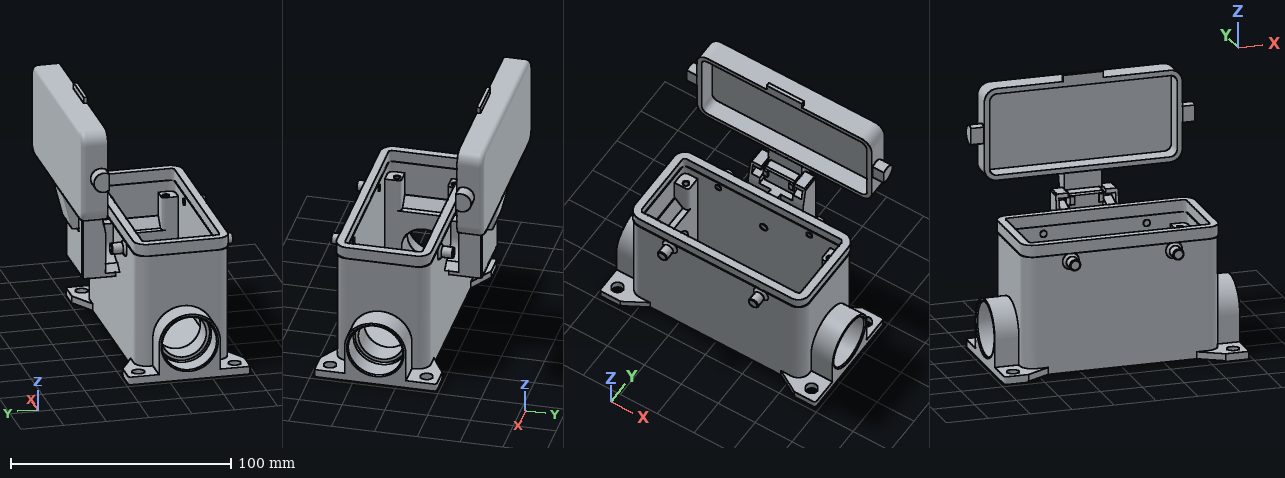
import cadquery as cq


half_length = 47.0
half_width = 21.8
corner_radius = 6.0
base_z = 0.4
rim_z = 57.3
top_z = 63.1
rim_overhang = 0.4
rim_end_overhang = 0.2
rim_half_length = half_length + rim_end_overhang
weld_depth = 1.2

cavity_half_length = 43.1
cavity_half_width = 18.1
cavity_corner = 1.5
floor_z = 3.8
undercut = 0.4
undercut_corner = 3.0

overall_length = 117.0
foot_half_length = overall_length / 2
foot_half_width = 28.5
foot_thickness = 3.8
foot_corner = 1.2
foot_inner_x = 47.0
foot_web_x = 35.4
foot_hole_x = 52.5
foot_hole_y = 22.5
foot_hole_diameter = 5.8

entry_z = 17.4
entry_radius = 14.3
entry_bore_radius = 10.7
entry_seat_radius = 12.7
entry_seat_chamfer = 0.6
entry_seat_end_radius = 12.2
entry_seat_taper = 1.2

pin_x = 24.6
pin_z = 53.7
pin_radius = 2.6
pin_tip_y = 28.4
pin_chamfer = 0.4
pin_flare_radius = 3.9
pin_flare_length = 1.3
pin_tail_radius = 1.6

pillar_size = 7.2
pillar_top_z = 52.0
pillar_edge_radius = 1.5
pillar_hole_x = 39.0
pillar_hole_y = 13.5
pillar_hole_diameter = 2.5
pillar_hole_depth = 14.7
pillar_hole_chamfer = 0.4
ramp_top_z = 40.7
ramp_run = 4.2
ramp_drop = 4.5

bracket_half_length = 15.0
bracket_front_y = 28.3
bracket_back_y = 39.3
bracket_low_z = 36.3
bracket_top_z = 67.7
bracket_top_front_y = 30.3
bracket_lip_y = 23.6
bracket_lip_z = 38.1
bracket_edge_chamfer = 0.6
bracket_wall = 1.5
ledge_z = 57.2
slot_half_length = 9.0
side_roof_z = 65.7
side_window_y = 35.5
side_window_back_z = 62.8
side_window_front_z = 60.4

post_half_length = 2.7
post_flank_z = 49.0
post_bend_x = 5.5
post_bend_z = 43.1
post_flank_arc_x = 3.5
post_flank_arc_z = 45.3
post_toe_arc_x = 8.0
post_toe_arc_z = 41.6
post_toe_x = 11.0
post_toe_z = 41.2
rivet_z = 41.6
rivet_radius = 2.0

lid_half_length = rim_half_length
lid_z = 97.5
lid_half_height = 22.0
lid_front_y = 35.4
lid_back_y = 47.7
lid_edge_radius = 2.2
lid_wall = 2.6
lid_cavity_depth = 8.6
tab_half_length = 9.5
tab_thickness = 1.8
tab_top_z = 122.5
peg_half_length = 53.4
peg_y = 38.8
peg_radius = 4.7
peg_flat_y = 36.3

arm_front_y = 36.0
arm_root_back_y = 47.4
arm_root_z = 77.2
arm_heel_y = 42.6
arm_low_z = 58.7
arm_edge_radius = 1.0
knuckle_half_length = 8.0
knuckle_top_z = 67.3
knuckle_brow_y = 32.2
knuckle_brow_z = 66.6
knuckle_nose_y = 31.4
knuckle_nose_z = 65.8
knuckle_foot_y = 31.5
lug_inner_x = 5.9
lug_front_y = 30.1
lug_low_z = 61.9



def upright_block(half_x, half_y, z_low, z_high, radius):
    """Box centred on the Z axis with rounded upright edges."""
    block = cq.Workplane("XY").workplane(offset=z_low).rect(2 * half_x, 2 * half_y)
    return block.extrude(z_high - z_low).edges("|Z").fillet(radius)


def box_between(x_range, y_range, z_range):
    """Plain box from its limits along each axis."""
    lengths = [high - low for low, high in (x_range, y_range, z_range)]
    corner = (x_range[0], y_range[0], z_range[0])
    return cq.Workplane("XY").box(*lengths, centered=False).translate(corner)


def side_profile(points, half_x):
    """Closed (Y, Z) outline extruded symmetrically about X = 0."""
    return cq.Workplane("YZ").polyline(points).close().extrude(half_x, both=True)


def x_cylinder(radius, x_start, x_end, y, z):
    """Cylinder along X between two stations."""
    start = cq.Vector(x_start, y, z)
    return cq.Workplane(cq.Solid.makeCylinder(radius, x_end - x_start, start, cq.Vector(1, 0, 0)))


def x_cone(start_radius, end_radius, x_start, x_end):
    """Cone frustum along the cable entry axis."""
    start = cq.Vector(x_start, 0, entry_z)
    cone = cq.Solid.makeCone(start_radius, end_radius, x_end - x_start, start, cq.Vector(1, 0, 0))
    return cq.Workplane(cone)


def make_foot():
    """Drilled foot on the +X end, tapering in to meet the long walls."""
    outline = [
        (0, -half_width),
        (foot_web_x, -half_width),
        (foot_inner_x, -foot_half_width),
        (foot_half_length, -foot_half_width),
        (foot_half_length, foot_half_width),
        (foot_inner_x, foot_half_width),
        (foot_web_x, half_width),
        (0, half_width),
    ]
    foot = cq.Workplane("XY").polyline(outline).close().extrude(foot_thickness)
    foot = foot.edges("|Z and >X").fillet(foot_corner)
    underside_step = box_between((0, half_length), (-foot_half_width, foot_half_width), (0, base_z))
    hole_points = [(foot_hole_x, foot_hole_y), (foot_hole_x, -foot_hole_y)]
    holes = cq.Workplane("XY").pushPoints(hole_points).circle(foot_hole_diameter / 2).extrude(foot_thickness)
    return foot.cut(underside_step).cut(holes)


def make_entry():
    """Round-topped cable entry on the +X end, from the end wall to the foot edge."""
    wall_x = half_length - corner_radius
    tube = x_cylinder(entry_radius, wall_x, foot_half_length, 0, entry_z)
    pedestal = box_between((wall_x, foot_half_length), (-entry_radius, entry_radius), (base_z, entry_z))
    return tube.union(pedestal)


def make_entry_bore():
    """Stepped and chamfered bore of the +X cable entry."""
    bore = x_cylinder(entry_bore_radius, 0, foot_half_length, 0, entry_z)
    taper_end_x = half_length + entry_seat_taper
    seat = x_cylinder(entry_seat_radius, taper_end_x, foot_half_length, 0, entry_z)
    taper = x_cone(entry_seat_end_radius, entry_seat_radius, half_length, taper_end_x)
    mouth_x = foot_half_length - entry_seat_chamfer
    mouth = x_cone(entry_seat_radius, entry_seat_radius + entry_seat_chamfer, mouth_x, foot_half_length)
    return bore.union(seat).union(taper).union(mouth)


def make_pillars():
    """Two drilled pillars at the +X end of the cavity with a ramped block between them."""
    outer_x = cavity_half_length + undercut
    outer_y = cavity_half_width + undercut
    inner_x = cavity_half_length - pillar_size
    inner_y = cavity_half_width - pillar_size
    pillar = box_between((inner_x, outer_x), (inner_y, outer_y), (floor_z, pillar_top_z))
    pillar = pillar.edges("|Z and <X and <Y").fillet(pillar_edge_radius)
    hole = (
        cq.Workplane("XY")
        .workplane(offset=pillar_top_z - pillar_hole_depth)
        .center(pillar_hole_x, pillar_hole_y)
        .circle(pillar_hole_diameter / 2)
        .extrude(pillar_hole_depth)
    )
    countersink = cq.Solid.makeCone(
        pillar_hole_diameter / 2,
        pillar_hole_diameter / 2 + pillar_hole_chamfer,
        pillar_hole_chamfer,
        cq.Vector(pillar_hole_x, pillar_hole_y, pillar_top_z - pillar_hole_chamfer),
        cq.Vector(0, 0, 1),
    )
    pillar = pillar.cut(hole).cut(cq.Workplane(countersink))
    ramp_outline = [
        (inner_x, floor_z),
        (outer_x, floor_z),
        (outer_x, ramp_top_z),
        (cavity_half_length, ramp_top_z),
        (cavity_half_length - ramp_run, ramp_top_z - ramp_drop),
        (inner_x, ramp_top_z - ramp_drop),
    ]
    ramp = cq.Workplane("XZ").polyline(ramp_outline).close().extrude(inner_y + pillar_edge_radius, both=True)
    return ramp.union(pillar).union(pillar.mirror("XZ"))


def make_pin():
    """Locking pin on the -Y wall at X = 0, revolved, with its tail showing inside."""
    tail_y = cavity_half_width
    flare_y = half_width + pin_flare_length
    outline = [
        (0, tail_y),
        (pin_tail_radius, tail_y),
        (pin_tail_radius, half_width - weld_depth),
        (pin_flare_radius, half_width - weld_depth),
        (pin_flare_radius, half_width),
        (pin_radius, flare_y),
        (pin_radius, pin_tip_y - pin_chamfer),
        (pin_radius - pin_chamfer, pin_tip_y),
        (0, pin_tip_y),
    ]
    pin = cq.Workplane("XY").polyline(outline).close().revolve(360, (0, 0, 0), (0, 1, 0))
    return pin.mirror("XZ").translate((0, 0, pin_z))


def make_post():
    """Post with concave flared flanks between the back wall and the bracket."""
    half = (
        cq.Workplane("XZ", origin=(0, bracket_front_y, 0))
        .moveTo(0, bracket_lip_z)
        .lineTo(bracket_half_length, bracket_lip_z)
        .lineTo(post_toe_x, post_toe_z)
        .threePointArc((post_toe_arc_x, post_toe_arc_z), (post_bend_x, post_bend_z))
        .threePointArc((post_flank_arc_x, post_flank_arc_z), (post_half_length, post_flank_z))
        .lineTo(post_half_length, ledge_z)
        .lineTo(0, ledge_z)
        .close()
        .extrude(bracket_front_y - half_width + weld_depth)
    )
    rivet_length = half_width - cavity_half_width
    rivet = cq.Solid.makeCylinder(
        rivet_radius, rivet_length, cq.Vector(0, cavity_half_width, rivet_z), cq.Vector(0, 1, 0)
    )
    return half.union(half.mirror("YZ")).union(cq.Workplane(rivet))


def make_bracket():
    """Hinge bracket: sloped-front block, slotted for the lid arm, with a window in each cheek."""
    block = side_profile(
        [
            (bracket_back_y, bracket_low_z),
            (bracket_back_y, bracket_top_z),
            (bracket_top_front_y, bracket_top_z),
            (bracket_front_y, ledge_z),
            (bracket_front_y, bracket_low_z),
        ],
        bracket_half_length,
    )
    block = block.edges(">Y or (|Y and >Z)").chamfer(bracket_edge_chamfer)
    lip = box_between(
        (-bracket_half_length, bracket_half_length),
        (bracket_lip_y, bracket_front_y),
        (bracket_low_z, bracket_lip_z),
    )
    slot = box_between(
        (-slot_half_length, slot_half_length), (bracket_front_y, bracket_back_y), (ledge_z, bracket_top_z)
    )
    windows = side_profile(
        [
            (side_window_y, side_window_back_z),
            (side_window_y, side_roof_z),
            (bracket_front_y, side_roof_z),
            (bracket_front_y, side_window_front_z),
        ],
        bracket_half_length - bracket_wall,
    )
    return block.union(lip).cut(slot).cut(windows)


def make_housing():
    """Open-topped housing with feet, cable entries, pillars, pins and hinge bracket."""
    body = upright_block(half_length, half_width, base_z, rim_z, corner_radius)
    rim = upright_block(rim_half_length, half_width + rim_overhang, rim_z, top_z, corner_radius)
    mouth = upright_block(cavity_half_length, cavity_half_width, floor_z, top_z, cavity_corner)
    cavity = upright_block(
        cavity_half_length + undercut, cavity_half_width + undercut, floor_z, rim_z, undercut_corner
    )
    housing = body.union(rim)
    foot = make_foot()
    entry = make_entry()
    for end in (foot, entry):
        housing = housing.union(end).union(end.mirror("YZ"))
    housing = housing.cut(mouth).cut(cavity)
    pillars = make_pillars()
    bore = make_entry_bore()
    housing = housing.union(pillars).union(pillars.mirror("YZ")).cut(bore).cut(bore.mirror("YZ"))
    pin = make_pin()
    for x in (-pin_x, pin_x):
        placed = pin.translate((x, 0, 0))
        housing = housing.union(placed).union(placed.mirror("XZ"))
    return housing.union(make_post()).union(make_bracket())


def lid_block(half_x, half_z, y_front, y_back, radius):
    """Rounded rectangle at the lid height, extruded along Y."""
    block = cq.Workplane("XZ", origin=(0, y_back, lid_z)).rect(2 * half_x, 2 * half_z)
    return block.extrude(y_back - y_front).edges("|Y").fillet(radius)


def make_arm():
    """Tapered arm below the lid, ending in a lugged knuckle inside the bracket slot."""
    arm = side_profile(
        [
            (arm_front_y, arm_low_z),
            (arm_front_y, arm_root_z),
            (arm_root_back_y, arm_root_z),
            (arm_heel_y, arm_low_z),
        ],
        slot_half_length,
    )
    arm = arm.faces("not (|X or |Z or <Y)").edges("not >Z").fillet(arm_edge_radius)
    knuckle = side_profile(
        [
            (arm_front_y, knuckle_top_z),
            (knuckle_brow_y, knuckle_brow_z),
            (knuckle_nose_y, knuckle_nose_z),
            (knuckle_foot_y, ledge_z),
            (arm_front_y, ledge_z),
        ],
        knuckle_half_length,
    )
    lug = box_between(
        (lug_inner_x, knuckle_half_length), (lug_front_y, knuckle_brow_y), (lug_low_z, knuckle_nose_z)
    )
    return arm.union(knuckle).union(lug).union(lug.mirror("YZ"))


def make_lid():
    """Raised lid: shallow tray with a lifting tab, two side pegs and the hinge arm."""
    tray = lid_block(lid_half_length, lid_half_height, lid_front_y, lid_back_y, corner_radius)
    tray = tray.faces(">Y").edges().fillet(lid_edge_radius)
    cavity = lid_block(
        lid_half_length - lid_wall,
        lid_half_height - lid_wall,
        lid_front_y,
        lid_front_y + lid_cavity_depth,
        corner_radius - lid_wall,
    )
    pegs = x_cylinder(peg_radius, -peg_half_length, peg_half_length, peg_y, lid_z)
    peg_flat = box_between(
        (-peg_half_length, peg_half_length), (0, peg_flat_y), (lid_z - peg_radius, lid_z + peg_radius)
    )
    tab = box_between(
        (-tab_half_length, tab_half_length),
        (lid_front_y, lid_front_y + tab_thickness),
        (lid_z + lid_half_height - lid_wall, tab_top_z),
    )
    return tray.union(pegs.cut(peg_flat)).union(tab).union(make_arm()).cut(cavity)


housing = make_housing()
lid = make_lid()
result = cq.Compound.makeCompound([housing.solids().val(), lid.solids().val()])